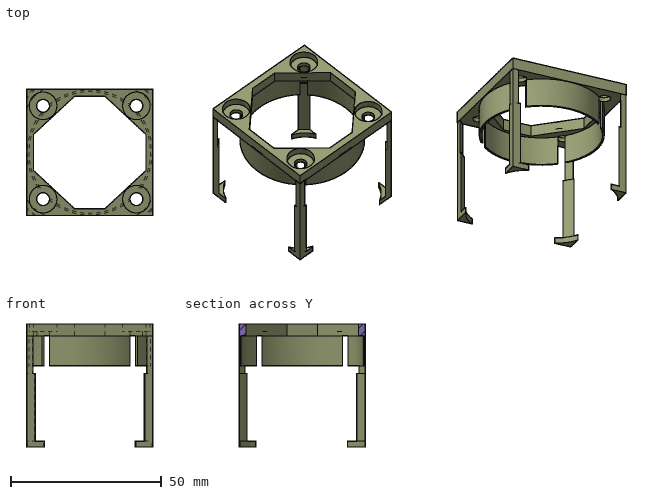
import cadquery as cq

side = 42.0
height = 41.0
half_side = side / 2

plate_thickness = 4.0
plate_bottom = height - plate_thickness
window_half_width = 18.6
window_side_half_length = 6.0
window_end_half_length = 5.1

hole_spacing = 31.0
hole_diameter = 4.2
bore_diameter = 9.15
bore_depth = 2.5

collar_outer_radius = 20.8
collar_inner_radius = 20.2
collar_bottom = height - 14.0
collar_half_opening = 13.4

leg_inset = 0.05
leg_width = 2.9
leg_narrow_width = 2.7
leg_neck_width = 2.2
leg_neck_narrow_width = 2.0
leg_neck_bottom = height - 16.5
leg_corner = half_side - leg_inset

foot_long_arm = 6.0
foot_long_tip = 0.25
foot_short_arm = 5.6
foot_arc_inset = 2.45
foot_height = 2.0

corner_count = 4


def make_plate():
    plate = (
        cq.Workplane("XY")
        .workplane(offset=plate_bottom)
        .rect(side, side)
        .extrude(plate_thickness)
    )
    quarter = [
        (window_half_width, window_side_half_length),
        (window_end_half_length, window_half_width),
    ]
    outline = quarter + [(-x, y) for x, y in reversed(quarter)]
    outline += [(-x, -y) for x, y in outline]
    window = (
        cq.Workplane("XY")
        .workplane(offset=plate_bottom)
        .polyline(outline)
        .close()
        .extrude(plate_thickness)
    )
    return (
        plate.cut(window)
        .faces(">Z")
        .workplane(origin=(0, 0, height))
        .rect(hole_spacing, hole_spacing, forConstruction=True)
        .vertices()
        .cboreHole(hole_diameter, bore_diameter, bore_depth)
    )


def make_collar():
    collar_height = plate_bottom - collar_bottom
    collar = (
        cq.Workplane("XY")
        .workplane(offset=collar_bottom)
        .circle(collar_outer_radius)
        .circle(collar_inner_radius)
        .extrude(collar_height)
    )
    opening_width = half_side - collar_half_opening
    opening_center = (half_side + collar_half_opening) / 2
    openings = (
        cq.Workplane("XY")
        .workplane(offset=collar_bottom)
        .rect(2 * opening_center, 2 * opening_center, forConstruction=True)
        .vertices()
        .rect(opening_width, opening_width)
        .extrude(collar_height)
    )
    return collar.cut(openings)


def make_post(width, narrow_width, bottom, top):
    """Triangular post in the -X -Y corner, wider along the -Y wall."""
    return (
        cq.Workplane("XY", origin=(-leg_corner, -leg_corner, bottom))
        .lineTo(width, 0)
        .lineTo(0, narrow_width)
        .close()
        .extrude(top - bottom)
    )


def make_foot():
    """Foot in the -X -Y corner, with its long arm along the -Y wall."""
    return (
        cq.Workplane("XY", origin=(-leg_corner, -leg_corner, 0))
        .lineTo(foot_long_arm, 0)
        .lineTo(foot_long_arm, foot_long_tip)
        .threePointArc((foot_arc_inset, foot_arc_inset), (0, foot_short_arm))
        .close()
        .extrude(foot_height)
    )


def make_leg():
    neck = make_post(leg_neck_width, leg_neck_narrow_width, leg_neck_bottom, plate_bottom)
    shank = make_post(leg_width, leg_narrow_width, 0, leg_neck_bottom)
    return shank.union(neck).union(make_foot())


result = make_plate().union(make_collar())
leg = make_leg()
for index in range(corner_count):
    turn = index * 360 / corner_count
    result = result.union(leg.rotate((0, 0, 0), (0, 0, 1), turn))